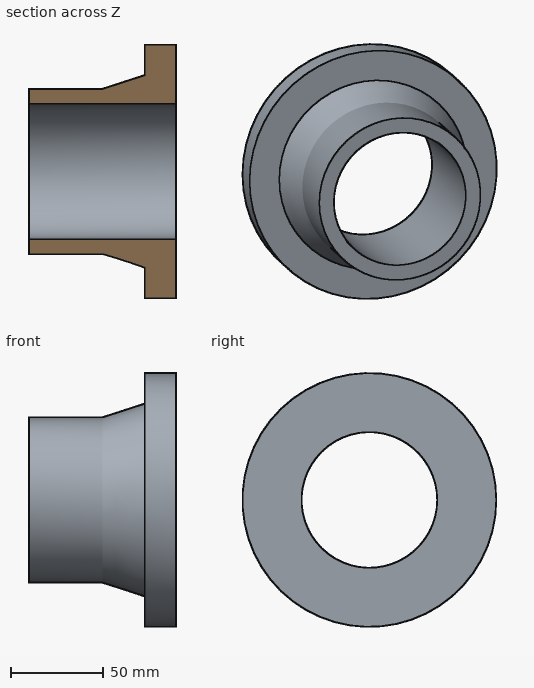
import cadquery as cq

total_length = 80.0
flange_diameter = 138.0
flange_thickness = 17.1
pipe_diameter = 90.0
bore_diameter = 73.5

neck_length = 22.9
neck_end_diameter = 104.9

flange_radius = flange_diameter / 2
pipe_radius = pipe_diameter / 2
bore_radius = bore_diameter / 2
neck_end_radius = neck_end_diameter / 2

flange_face = total_length - flange_thickness
neck_start = flange_face - neck_length

wall_section = (
    cq.Workplane("XY")
    .moveTo(0, bore_radius)
    .lineTo(0, pipe_radius)
    .lineTo(neck_start, pipe_radius)
    .lineTo(flange_face, neck_end_radius)
    .lineTo(flange_face, flange_radius)
    .lineTo(total_length, flange_radius)
    .lineTo(total_length, bore_radius)
    .close()
)

result = wall_section.revolve(360, (0, 0, 0), (1, 0, 0))